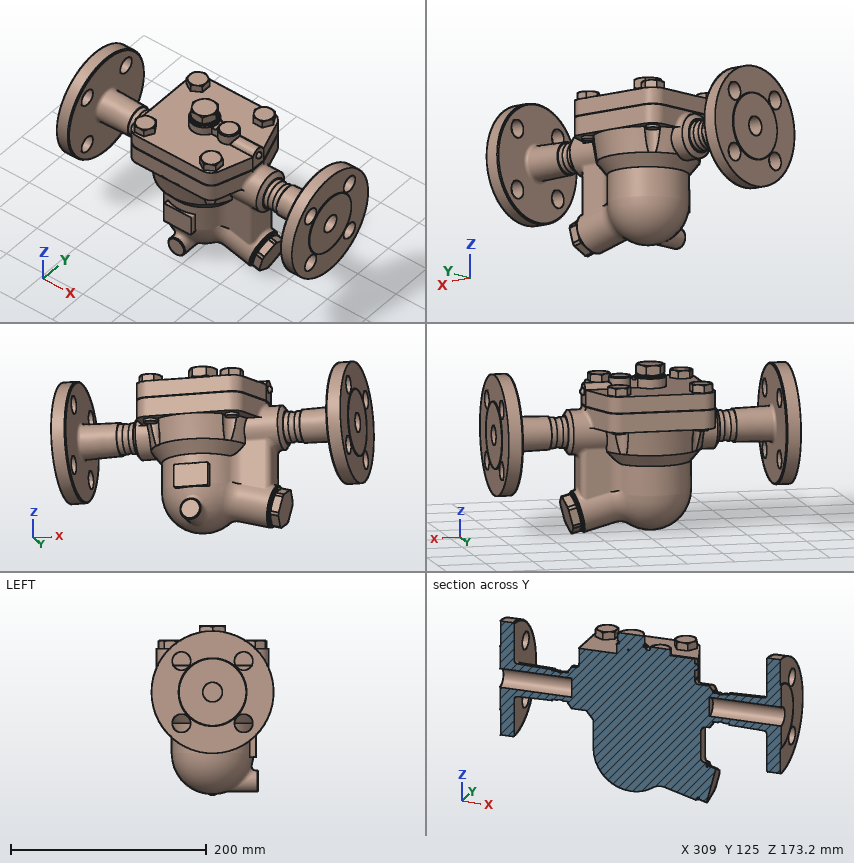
import cadquery as cq
import math


HALF_LENGTH = 154.5
FLANGE_DIA = 125.0
FLANGE_THICKNESS = 15.5
FLANGE_CHAMFER = 1.2
RAISED_FACE_DIA = 69.8
RAISED_FACE_HEIGHT = 0.5
BOLT_HOLE_DIA = 19.0
BOLT_CIRCLE_DIA = 90.0
BORE_DIA = 20.0
NECK_ROOT_RADIUS = 18.2
NECK_TIP_RADIUS = 17.3
NECK_FILLET = 3.5
NECK_TIP_X = 97.3
PIPE_RADIUS = 16.0
GROOVE_OUTER_X = 91.5
GROOVE_INNER_X = 85.0
GROOVE_DEPTH = 1.0
PORT_DIA = 46.0
PORT_END_X = 75.7
PORT_CHAMFER_LENGTH = 4.0
PORT_TIP_RADIUS = 17.5
PORT_FILLET = 3.7

BODY_X = -10.2
BOLT_OFFSET = 43.3
CORNER_RADIUS = 14.2
NOSE_X = 60.0
NOSE_HALF_WIDTH = 9.0
PLATE_BOTTOM_Z = 7.0
JOINT_Z = 27.0
GASKET_THICKNESS = 0.5
GASKET_INSET = 0.3
COVER_TOP_Z = 44.5
BOLT_HEAD_FLATS = 21.0
BOLT_HEAD_HEIGHT = 8.3
BOLT_HEAD_TURNS = (2, 30, 30, 0)
STUD_DIA = 14.0
STUD_END_Z = 4.3
STUD_POCKET_RADIUS = 9.3

PLUG_BOSS_DIA = 32.8
PLUG_BOSS_TOP_Z = 55.5
PLUG_NECK_DIA = 27.0
PLUG_HEAD_BOTTOM_Z = 57.2
PLUG_HEAD_TOP_Z = 67.7
PLUG_FLATS = 26.3
SIDE_BOSS_X = 21.5
SIDE_BOSS_DIA = 23.0
SIDE_BOSS_TOP_Z = 57.0
BOSS_CHAMFER = 1.2
BRIDGE_WIDTH = 14.2
BRIDGE_VALLEY_RADIUS = 2.8
DUCT_RADIUS = 9.0
DUCT_AXIS_Z = 41.5
NOSE_KNOB_RADIUS = 3.7

SHOULDER_TOP_RADIUS = 57.5
SHOULDER_RADIUS = 52.8
SHOULDER_Z = -19.0
BOWL_RADIUS = 42.0
BOWL_TOP_Z = -31.8
BOWL_CENTRE_Z = -62.5
DRAIN_DIA = 22.0
DRAIN_Z = -91.0
DRAIN_END_Y = -46.7
DRAIN_CHAMFER = 1.0
DRAIN_FILLET = 4.0
NAMEPLATE_WIDTH = 36.5
NAMEPLATE_TOP_Z = -42.3
NAMEPLATE_BOTTOM_Z = -66.5
NAMEPLATE_FACE_Y = -44.5
NAMEPLATE_CORNER = 2.0

BRANCH_TILT = 15.0
BRANCH_DIA = 44.0
BRANCH_LENGTH = 80.3
BRANCH_CHAMFER = 1.2
BRANCH_FILLET = 17.0
CAP_NECK_DIA = 36.5
CAP_START = 82.0
CAP_END = 91.2
CAP_FLATS = 36.5
CAP_CORNER_DIA = 40.2
PASSAGE_END_X = 66.5
PASSAGE_HALF_WIDTH = 17.5
PASSAGE_CORNER = 6.2
PASSAGE_BOWL_FILLET = 15.5
PASSAGE_PORT_FILLET = 5.5
PASSAGE_BRANCH_FILLET = 3.5
PASSAGE_BOTTOM_Z = -80.3

SELECT_MARGIN = 0.3


def hex_prism(flats, height, turn, bevel_both_ends=False):
    """Hexagonal head standing on the XY plane, its corners bevelled at 30 degrees."""
    corner_dia = flats / math.cos(math.radians(30))
    bevel_drop = (corner_dia - flats) / 2 * math.tan(math.radians(30))
    prism = cq.Workplane("XY").polygon(6, corner_dia).extrude(height)
    bevelled = cq.Workplane("XY").circle(corner_dia / 2).extrude(height)
    ends = bevelled.faces("|Z") if bevel_both_ends else bevelled.faces(">Z")
    bevelled = ends.chamfer(bevel_drop, (corner_dia - flats) / 2)
    return prism.intersect(bevelled).rotate((0, 0, 0), (0, 0, 1), turn)


def z_cylinder(x, y, dia, bottom, top):
    return cq.Workplane("XY", origin=(x, y, bottom)).circle(dia / 2).extrude(top - bottom)


def bolt_centres():
    return [(BODY_X + sx * BOLT_OFFSET, sy * BOLT_OFFSET) for sx in (-1, 1) for sy in (-1, 1)]


def pipe_arm():
    """Flange, weld neck, grooved pipe and port on the -X side, turned about X."""
    flange_inner_x = HALF_LENGTH - FLANGE_THICKNESS - RAISED_FACE_HEIGHT
    flange_outer_x = HALF_LENGTH - RAISED_FACE_HEIGHT
    flange_radius = FLANGE_DIA / 2
    neck_base_x = flange_inner_x - NECK_FILLET
    groove_mid_x = (GROOVE_OUTER_X + GROOVE_INNER_X) / 2
    arm = (
        cq.Workplane("XY")
        .moveTo(-HALF_LENGTH, 0)
        .lineTo(-HALF_LENGTH, RAISED_FACE_DIA / 2 - RAISED_FACE_HEIGHT)
        .lineTo(-flange_outer_x, RAISED_FACE_DIA / 2)
        .lineTo(-flange_outer_x, flange_radius)
        .lineTo(-flange_inner_x - FLANGE_CHAMFER, flange_radius)
        .lineTo(-flange_inner_x, flange_radius - FLANGE_CHAMFER)
        .lineTo(-flange_inner_x, NECK_ROOT_RADIUS + NECK_FILLET)
        .radiusArc((-neck_base_x, NECK_ROOT_RADIUS), -NECK_FILLET)
        .lineTo(-NECK_TIP_X, NECK_TIP_RADIUS)
        .lineTo(-NECK_TIP_X, PIPE_RADIUS)
        .lineTo(-GROOVE_OUTER_X, PIPE_RADIUS)
        .threePointArc((-groove_mid_x, PIPE_RADIUS - GROOVE_DEPTH), (-GROOVE_INNER_X, PIPE_RADIUS))
        .lineTo(-PORT_END_X - PORT_CHAMFER_LENGTH, PIPE_RADIUS)
        .lineTo(-PORT_END_X - PORT_CHAMFER_LENGTH, PORT_TIP_RADIUS)
        .lineTo(-PORT_END_X, PORT_DIA / 2)
        .lineTo(BODY_X, PORT_DIA / 2)
        .lineTo(BODY_X, 0)
        .close()
        .revolve(360, (0, 0), (1, 0))
    )
    bolt_holes = (
        cq.Workplane("YZ", origin=(-HALF_LENGTH, 0, 0))
        .polarArray(BOLT_CIRCLE_DIA / 2, 45, 360, 4)
        .circle(BOLT_HOLE_DIA / 2)
        .extrude(HALF_LENGTH - neck_base_x)
    )
    return arm.cut(bolt_holes)


def bore(side):
    """Blind bore from the flange face to the inner end of the pipe."""
    depth = HALF_LENGTH - PORT_END_X
    return cq.Workplane("YZ", origin=(side * HALF_LENGTH, 0, 0)).circle(BORE_DIA / 2).extrude(-side * depth)


def plate(bottom, top):
    """Cover outline: two rounded corners at -X, tapering to a narrow flat nose at +X."""
    left = BODY_X - BOLT_OFFSET - CORNER_RADIUS
    half_width = BOLT_OFFSET + CORNER_RADIUS
    corner_x = BODY_X + BOLT_OFFSET
    dx = corner_x - NOSE_X
    dy = BOLT_OFFSET - NOSE_HALF_WIDTH
    tangent_turn = math.acos(CORNER_RADIUS / math.hypot(dx, dy))
    touch = math.atan2(-dy, -dx) + tangent_turn
    touch_x = corner_x + CORNER_RADIUS * math.cos(touch)
    touch_y = BOLT_OFFSET + CORNER_RADIUS * math.sin(touch)
    return (
        cq.Workplane("XY", origin=(0, 0, bottom))
        .moveTo(left, BOLT_OFFSET)
        .radiusArc((left + CORNER_RADIUS, half_width), CORNER_RADIUS)
        .lineTo(corner_x, half_width)
        .radiusArc((touch_x, touch_y), CORNER_RADIUS)
        .lineTo(NOSE_X, NOSE_HALF_WIDTH)
        .lineTo(NOSE_X, -NOSE_HALF_WIDTH)
        .lineTo(touch_x, -touch_y)
        .radiusArc((corner_x, -half_width), CORNER_RADIUS)
        .lineTo(left + CORNER_RADIUS, -half_width)
        .radiusArc((left, -BOLT_OFFSET), CORNER_RADIUS)
        .close()
        .extrude(top - bottom)
    )


def port_barrel():
    return cq.Workplane("YZ", origin=(-PORT_END_X, 0, 0)).circle(PORT_DIA / 2).extrude(2 * PORT_END_X)


def body_plate_with_ports():
    """Body plate joined to the port barrel, filleted where the barrel leaves the plate."""
    joined = plate(PLATE_BOTTOM_Z, JOINT_Z).union(port_barrel())
    low = PLATE_BOTTOM_Z + SELECT_MARGIN
    high = PORT_DIA / 2
    plate_left = BODY_X - BOLT_OFFSET - CORNER_RADIUS
    corner_x = BODY_X + BOLT_OFFSET
    outlet_joint = cq.selectors.BoxSelector(
        (corner_x, -PORT_DIA, low), (NOSE_X + SELECT_MARGIN, PORT_DIA, high)
    )
    inlet_joint = cq.selectors.BoxSelector(
        (plate_left - SELECT_MARGIN, -PORT_DIA, low), (plate_left + SELECT_MARGIN, PORT_DIA, high)
    )
    return joined.edges(outlet_joint + inlet_joint).fillet(PORT_FILLET)


def gasket():
    """Thin layer between body plate and cover, set back a little all round."""
    outline = plate(JOINT_Z, COVER_TOP_Z).faces("<Z").wires().toPending()
    return outline.offset2D(-GASKET_INSET).extrude(GASKET_THICKNESS, combine=False)


def bowl():
    """Tapered shoulder, cylindrical wall and round bottom, turned about the bowl axis."""
    return (
        cq.Workplane("XZ", origin=(BODY_X, 0, 0))
        .moveTo(0, PLATE_BOTTOM_Z)
        .lineTo(SHOULDER_TOP_RADIUS, PLATE_BOTTOM_Z)
        .lineTo(SHOULDER_RADIUS, SHOULDER_Z)
        .lineTo(BOWL_RADIUS, BOWL_TOP_Z)
        .lineTo(BOWL_RADIUS, BOWL_CENTRE_Z)
        .radiusArc((0, BOWL_CENTRE_Z - BOWL_RADIUS), BOWL_RADIUS)
        .close()
        .revolve(360, (0, 0), (0, 1))
    )


def stud_pockets():
    """Vertical reliefs in the shoulder around each stud."""
    pockets = cq.Workplane("XY")
    for x, y in bolt_centres():
        pockets = pockets.union(z_cylinder(x, y, 2 * STUD_POCKET_RADIUS, SHOULDER_Z, PLATE_BOTTOM_Z))
    return pockets


def add_drain(body):
    """Drain stub pointing to -Y, filleted into the round bottom."""
    stub = (
        cq.Workplane("XZ", origin=(BODY_X, 0, DRAIN_Z))
        .circle(DRAIN_DIA / 2)
        .extrude(-DRAIN_END_Y)
        .faces("<Y")
        .chamfer(DRAIN_CHAMFER)
    )
    reach = DRAIN_DIA / 2 + SELECT_MARGIN
    joint = cq.selectors.BoxSelector(
        (BODY_X - reach, -BOWL_RADIUS + SELECT_MARGIN, DRAIN_Z - reach), (BODY_X + reach, 0, DRAIN_Z + reach)
    )
    return body.union(stub).edges(joint).edges("not |Y").fillet(DRAIN_FILLET)


def nameplate():
    height = NAMEPLATE_TOP_Z - NAMEPLATE_BOTTOM_Z
    return (
        cq.Workplane("XZ", origin=(BODY_X, 0, NAMEPLATE_BOTTOM_Z + height / 2))
        .rect(NAMEPLATE_WIDTH, height)
        .extrude(-NAMEPLATE_FACE_Y)
        .edges("|Y")
        .fillet(NAMEPLATE_CORNER)
    )


def on_branch_axis(solid):
    """Lay a solid built up along Z onto the tilted branch axis through the bowl centre."""
    return solid.rotate((0, 0, 0), (0, 1, 0), 90 + BRANCH_TILT).translate((BODY_X, 0, BOWL_CENTRE_Z))


def branch():
    """Round branch turned about its own axis, flaring into the bowl through a concave fillet."""
    radius = BRANCH_DIA / 2
    to_fillet_centre = BOWL_RADIUS + BRANCH_FILLET
    flare_end = math.sqrt(to_fillet_centre ** 2 - (radius + BRANCH_FILLET) ** 2)
    share = BOWL_RADIUS / to_fillet_centre
    tube = (
        cq.Workplane("XZ")
        .lineTo((radius + BRANCH_FILLET) * share, flare_end * share)
        .radiusArc((radius, flare_end), BRANCH_FILLET)
        .lineTo(radius, BRANCH_LENGTH - BRANCH_CHAMFER)
        .lineTo(radius - BRANCH_CHAMFER, BRANCH_LENGTH)
        .lineTo(0, BRANCH_LENGTH)
        .close()
        .revolve(360, (0, 0), (0, 1))
    )
    return on_branch_axis(tube)


def branch_cap():
    """Short neck and a hexagonal cap with its corners turned round."""
    neck = z_cylinder(0, 0, CAP_NECK_DIA, BRANCH_LENGTH - BRANCH_CHAMFER, CAP_START)
    corner_dia = CAP_FLATS / math.cos(math.radians(30))
    head = cq.Workplane("XY", origin=(0, 0, CAP_START)).polygon(6, corner_dia).extrude(CAP_END - CAP_START)
    head = head.intersect(z_cylinder(0, 0, CAP_CORNER_DIA, CAP_START, CAP_END))
    return on_branch_axis(neck.union(head))


def outlet_passage():
    """Upright passage from the outlet port down to the branch, filleted where it meets each."""
    length = PASSAGE_END_X - BODY_X
    upright = (
        cq.Workplane("XY", origin=(BODY_X + length / 2, 0, PASSAGE_BOTTOM_Z))
        .rect(length, 2 * PASSAGE_HALF_WIDTH)
        .extrude(-PASSAGE_BOTTOM_Z)
        .edges("|Z and >X")
        .fillet(PASSAGE_CORNER)
    )
    joined = upright.union(port_barrel()).union(branch())
    end_x = PASSAGE_END_X + SELECT_MARGIN
    side_y = PASSAGE_HALF_WIDTH + SELECT_MARGIN
    port_joint = cq.selectors.BoxSelector(
        (0, -side_y, -PORT_DIA / 2), (end_x, side_y, 0)
    )
    joined = joined.edges(port_joint).fillet(PASSAGE_PORT_FILLET)
    branch_joint = cq.selectors.BoxSelector(
        (BODY_X + BOWL_RADIUS, -side_y, PASSAGE_BOTTOM_Z + SELECT_MARGIN),
        (end_x, side_y, BOWL_CENTRE_Z + PASSAGE_BRANCH_FILLET),
    )
    return joined.edges(branch_joint).fillet(PASSAGE_BRANCH_FILLET)


def passage_fairing():
    """Web whose concave sides blend the passage into the round bowl wall."""
    fillet_y = PASSAGE_HALF_WIDTH + PASSAGE_BOWL_FILLET
    to_fillet_centre = BOWL_RADIUS + PASSAGE_BOWL_FILLET
    fillet_x = math.sqrt(to_fillet_centre ** 2 - fillet_y ** 2)
    share = BOWL_RADIUS / to_fillet_centre
    face_x = BODY_X + fillet_x
    wall_x = BODY_X + fillet_x * share
    wall_y = fillet_y * share
    return (
        cq.Workplane("XY", origin=(0, 0, BOWL_CENTRE_Z))
        .moveTo(BODY_X, 0)
        .lineTo(wall_x, -wall_y)
        .radiusArc((face_x, -PASSAGE_HALF_WIDTH), PASSAGE_BOWL_FILLET)
        .lineTo(face_x, PASSAGE_HALF_WIDTH)
        .radiusArc((wall_x, wall_y), PASSAGE_BOWL_FILLET)
        .close()
        .extrude(SHOULDER_Z - BOWL_CENTRE_Z)
    )


def plug():
    """Round boss on the bowl axis carrying a hexagonal plug."""
    boss = z_cylinder(BODY_X, 0, PLUG_BOSS_DIA, JOINT_Z, PLUG_BOSS_TOP_Z)
    boss = boss.faces(">Z").chamfer(BOSS_CHAMFER)
    neck = z_cylinder(BODY_X, 0, PLUG_NECK_DIA, JOINT_Z, PLUG_HEAD_BOTTOM_Z)
    head = hex_prism(PLUG_FLATS, PLUG_HEAD_TOP_Z - PLUG_HEAD_BOTTOM_Z, 0, bevel_both_ends=True)
    return boss.union(neck).union(head.translate((BODY_X, 0, PLUG_HEAD_BOTTOM_Z)))


def bridge():
    """Narrow wall between the two cover bosses with a round valley along its top."""
    length = SIDE_BOSS_X - BODY_X
    top = PLUG_BOSS_TOP_Z - BOSS_CHAMFER
    gap_start = BODY_X + PLUG_BOSS_DIA / 2
    gap_end = SIDE_BOSS_X - SIDE_BOSS_DIA / 2
    wall = (
        cq.Workplane("XY", origin=(BODY_X + length / 2, 0, JOINT_Z))
        .rect(length, BRIDGE_WIDTH)
        .extrude(top - JOINT_Z)
    )
    valley = (
        cq.Workplane("XZ", origin=((gap_start + gap_end) / 2, 0, PLUG_BOSS_TOP_Z))
        .circle(BRIDGE_VALLEY_RADIUS)
        .extrude(BRIDGE_WIDTH, both=True)
    )
    return wall.cut(valley)


def side_boss_and_duct():
    """Second boss with a duct running half sunk in the cover to a small knob on the nose."""
    boss = z_cylinder(SIDE_BOSS_X, 0, SIDE_BOSS_DIA, JOINT_Z, SIDE_BOSS_TOP_Z)
    boss = boss.faces(">Z").chamfer(BOSS_CHAMFER)
    duct = (
        cq.Workplane("YZ", origin=(SIDE_BOSS_X, 0, DUCT_AXIS_Z))
        .circle(DUCT_RADIUS)
        .extrude(NOSE_X - SIDE_BOSS_X)
    )
    knob = cq.Workplane("XY", origin=(NOSE_X, 0, DUCT_AXIS_Z)).sphere(NOSE_KNOB_RADIUS)
    return boss.union(duct).union(knob)


def bolts():
    """Hexagonal bolt heads on the cover and stud ends below the body plate."""
    heads = cq.Workplane("XY")
    for (x, y), turn in zip(bolt_centres(), BOLT_HEAD_TURNS):
        head = hex_prism(BOLT_HEAD_FLATS, BOLT_HEAD_HEIGHT, turn).translate((x, y, COVER_TOP_Z))
        heads = heads.union(head).union(z_cylinder(x, y, STUD_DIA, STUD_END_Z, COVER_TOP_Z))
    return heads


result = add_drain(bowl().cut(stud_pockets()))
result = result.union(passage_fairing()).union(outlet_passage()).union(nameplate())
result = result.union(body_plate_with_ports())

inlet_arm = pipe_arm()
result = result.union(inlet_arm).union(inlet_arm.mirror("YZ"))

result = result.union(gasket()).union(plate(JOINT_Z + GASKET_THICKNESS, COVER_TOP_Z))
result = result.union(plug()).union(bridge()).union(side_boss_and_duct())
result = result.union(bolts()).union(branch_cap())
result = result.cut(bore(-1)).cut(bore(1))